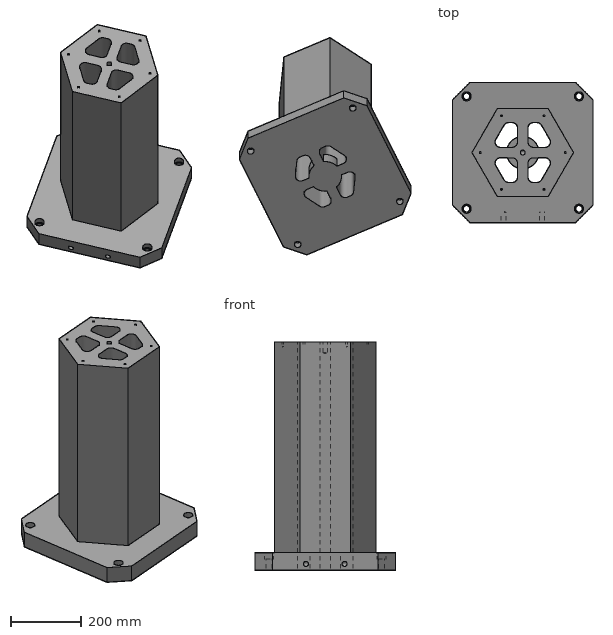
import cadquery as cq
import math

plate_side = 400.0
plate_thickness = 50.0
plate_corner_cut = plate_thickness

total_height = 650.0
column_across_flats = 250.0

column_wall = 40.0
web_thickness = 30.0
window_corner_radius = 15.0

hub_diameter = 92.0

mount_hole_pitch = 320.0
mount_hole_diameter = 18.0
mount_counterbore_diameter = 26.0
mount_counterbore_depth = 17.5
top_hole_diameter = 5.0
top_hole_circle_radius = 121.0
top_hole_count = 6
top_hole_depth = 13.0
center_hole_diameter = 13.5
center_hole_depth = 30.0
side_hole_diameter = 14.0
side_hole_pitch = 110.0
side_hole_height = 18.0
side_hole_depth = 30.0
drill_point_angle = 118.0


def hexagon(across_flats):
    """Hexagon centred on Z with two corners on the X axis."""
    across_corners = across_flats / math.cos(math.radians(30))
    return cq.Workplane("XY").polygon(6, across_corners)


def drilled_hole(diameter, depth, entry, direction):
    """Cutter for a blind hole ending in a conical drill point."""
    radius = diameter / 2
    tip_length = radius / math.tan(math.radians(drill_point_angle / 2))
    barrel = cq.Solid.makeCylinder(radius, depth, entry, direction)
    tip = cq.Solid.makeCone(radius, 0, tip_length, entry + direction * depth, direction)
    return barrel.fuse(tip)


def windows():
    """Cutter for the four windows: an inner hexagon less the two webs."""
    inner = hexagon(column_across_flats - 2 * column_wall).extrude(total_height)
    web_length = 2 * column_across_flats
    web_x = cq.Workplane("XY").rect(web_length, web_thickness).extrude(total_height)
    web_y = cq.Workplane("XY").rect(web_thickness, web_length).extrude(total_height)
    return inner.cut(web_x).cut(web_y).edges("|Z").fillet(window_corner_radius)


plate = (
    cq.Workplane("XY")
    .rect(plate_side, plate_side)
    .extrude(plate_thickness)
    .edges("|Z")
    .chamfer(plate_corner_cut)
)
column = hexagon(column_across_flats).extrude(total_height)
hub = cq.Workplane("XY").circle(hub_diameter / 2).extrude(plate_thickness)
result = plate.union(column).cut(windows()).union(hub)

mount_holes = (
    cq.Workplane("XY", origin=(0, 0, plate_thickness))
    .rect(mount_hole_pitch, mount_hole_pitch, forConstruction=True)
    .vertices()
)
mount_bores = mount_holes.circle(mount_hole_diameter / 2).extrude(-plate_thickness)
mount_counterbores = mount_holes.circle(mount_counterbore_diameter / 2).extrude(-mount_counterbore_depth)
result = result.cut(mount_bores).cut(mount_counterbores)

down = cq.Vector(0, 0, -1)
top_center = cq.Vector(0, 0, total_height)
result = result.cut(drilled_hole(center_hole_diameter, center_hole_depth, top_center, down))
for index in range(top_hole_count):
    angle = math.radians(360 * index / top_hole_count)
    entry = cq.Vector(
        top_hole_circle_radius * math.cos(angle),
        top_hole_circle_radius * math.sin(angle),
        total_height,
    )
    result = result.cut(drilled_hole(top_hole_diameter, top_hole_depth, entry, down))

inward = cq.Vector(0, 1, 0)
for side in (-1, 1):
    entry = cq.Vector(side * side_hole_pitch / 2, -plate_side / 2, side_hole_height)
    result = result.cut(drilled_hole(side_hole_diameter, side_hole_depth, entry, inward))